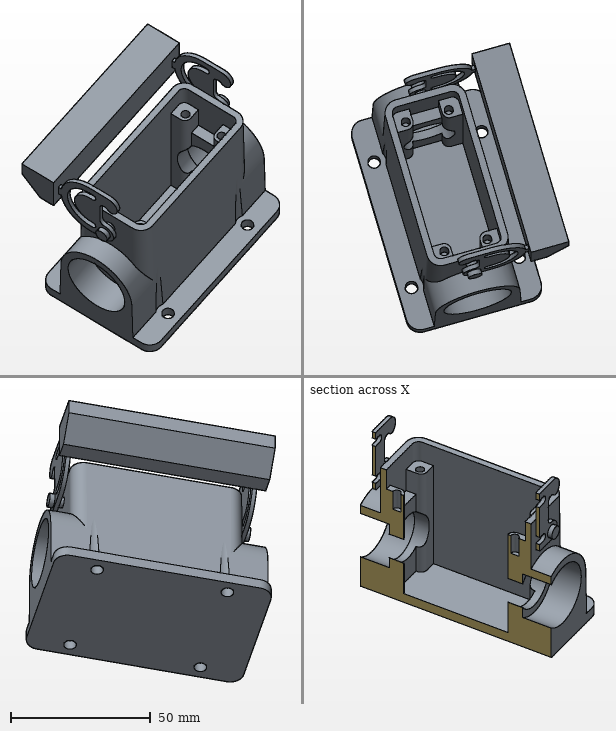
import cadquery as cq
import math


OVERALL_WIDTH = 59.5
LENGTH = 80.0

FLANGE_WIDTH = 50.0
FLANGE_THICKNESS = 4.2
FLANGE_CORNER_RADIUS = 5.0
SCREW_SPACING_X = 40.0
SCREW_SPACING_Y = 48.0
SCREW_HOLE_RADIUS = 2.2
SCREW_HEAD_RADIUS = 4.4

HOUSING_TOP = 57.0
HOUSING_HALF_BASE = 16.2
HOUSING_HALF_TOP = 15.0
HOUSING_LENGTH = 63.2
HOUSING_CORNER_RADIUS = 5.0
WALL = 2.6
CAVITY_WIDTH = 2 * (HOUSING_HALF_TOP - WALL)
CAVITY_LENGTH = HOUSING_LENGTH - 2 * WALL
CAVITY_CORNER_RADIUS = HOUSING_CORNER_RADIUS - WALL
CAVITY_DEPTH = HOUSING_TOP - FLANGE_THICKNESS

ENTRY_HEIGHT = 23.1
ENTRY_RADIUS = 12.6
ENTRY_DEPTH = 12.0
INNER_ENTRY_RADIUS = 9.5
ENTRY_WALL = 4.2


def housing_half_width(z):
    """Half width of the tapered housing at height z."""
    rise = (z - FLANGE_THICKNESS) / (HOUSING_TOP - FLANGE_THICKNESS)
    return HOUSING_HALF_BASE + (HOUSING_HALF_TOP - HOUSING_HALF_BASE) * rise


DRAFT = math.atan((HOUSING_HALF_BASE - HOUSING_HALF_TOP) / (HOUSING_TOP - FLANGE_THICKNESS))
BOSS_RADIUS = housing_half_width(ENTRY_HEIGHT) * math.cos(DRAFT)
BOSS_TOP = ENTRY_HEIGHT + BOSS_RADIUS

POST_TOP = 48.4
POST_SPACING_X = 16.0
POST_SPACING_Y = 49.4
POST_SIZE_X = 7.0
POST_SIZE_Y = 7.2
POST_CORNER_RADIUS = 2.6
POST_HOLE_RADIUS = 1.6
POST_HOLE_DEPTH = 8.0

PIVOT_HEIGHT = 50.0
PIVOT_EYE_RADIUS = 4.0
PIN_RADIUS = 2.0
PIN_HEAD_RADIUS = 2.6
PIN_HEAD_END = 37.0
PLATE_INNER_Y = 33.5
PLATE_THICKNESS = 1.6
LEVER_TOP = 72.0
LEVER_BOTTOM = PIVOT_HEIGHT - PIVOT_EYE_RADIUS
LEVER_RADIUS = (LEVER_TOP - LEVER_BOTTOM) / 2
LEVER_CENTER_X = -6.4
LEVER_CENTER_Z = (LEVER_TOP + LEVER_BOTTOM) / 2
MOUTH_RADIUS = 2.0
MOUTH_HEIGHT = 64.0
HOOK_X = 1.6
HOOK_RADIUS = 4.0
HOOK_TIP_RADIUS = 2.0
SLOT_OUTER_RADIUS = 10.0
SLOT_WIDTH = 3.0
SLOT_INNER_RADIUS = SLOT_OUTER_RADIUS - SLOT_WIDTH
SLOT_END_X = -5.4
TAB_WIDTH = 4.0

GRIP_LENGTH = 76.0
GRIP_LEFT = FLANGE_WIDTH / 2 - OVERALL_WIDTH
GRIP_WIDTH = 14.1
GRIP_BOTTOM = 52.9
GRIP_TOP = 67.0
GRIP_CHAMFER = 8.1


def box_between(x0, x1, y0, y1, z0, z1):
    """Axis-aligned box given by its limits."""
    return cq.Workplane("XY").box(x1 - x0, y1 - y0, z1 - z0, centered=False).translate((x0, y0, z0))


def cylinder_along_y(radius, z, y0, y1):
    """Cylinder parallel to Y at X = 0 and height z, from y0 to y1."""
    return cq.Workplane("XZ", origin=(0, y0, z)).circle(radius).extrude(y0 - y1)


def make_tower():
    """Tapered middle of the housing with rounded upright edges."""
    outline = [
        (-HOUSING_HALF_BASE, FLANGE_THICKNESS),
        (HOUSING_HALF_BASE, FLANGE_THICKNESS),
        (HOUSING_HALF_TOP, HOUSING_TOP),
        (-HOUSING_HALF_TOP, HOUSING_TOP),
    ]
    block = cq.Workplane("XZ").polyline(outline).close().extrude(HOUSING_LENGTH / 2, both=True)
    return block.edges("not (#Z or |Y)").fillet(HOUSING_CORNER_RADIUS)


def make_end_boss():
    """Boss at the +Y end: drafted sides flush with the tower, running into a round top."""
    start_y = HOUSING_LENGTH / 2 - HOUSING_CORNER_RADIUS
    touch_x = BOSS_RADIUS * math.cos(DRAFT)
    touch_z = ENTRY_HEIGHT + BOSS_RADIUS * math.sin(DRAFT)
    return (
        cq.Workplane("XZ", origin=(0, start_y, 0))
        .moveTo(-HOUSING_HALF_BASE, FLANGE_THICKNESS)
        .lineTo(HOUSING_HALF_BASE, FLANGE_THICKNESS)
        .lineTo(touch_x, touch_z)
        .threePointArc((0, BOSS_TOP), (-touch_x, touch_z))
        .close()
        .extrude(start_y - LENGTH / 2)
    )


def make_flange():
    """Mounting plate with rounded corners."""
    plate = cq.Workplane("XY").rect(FLANGE_WIDTH, LENGTH).extrude(FLANGE_THICKNESS)
    return plate.edges("|Z").fillet(FLANGE_CORNER_RADIUS)


def make_shell():
    """Housing and end bosses on the flange, hollowed out from the top."""
    boss = make_end_boss()
    cavity = (
        cq.Workplane("XY", origin=(0, 0, HOUSING_TOP))
        .rect(CAVITY_WIDTH, CAVITY_LENGTH)
        .extrude(-CAVITY_DEPTH)
        .edges("|Z")
        .fillet(CAVITY_CORNER_RADIUS)
    )
    return make_flange().union(make_tower()).union(boss).union(boss.mirror("XZ")).cut(cavity)


def add_posts(body):
    """Posts with blind screw holes, rounded at the corner facing the cavity."""
    x0 = CAVITY_WIDTH / 2 - POST_SIZE_X
    x1 = CAVITY_WIDTH / 2
    y0 = CAVITY_LENGTH / 2 - POST_SIZE_Y
    y1 = CAVITY_LENGTH / 2
    post = box_between(x0, x1, y0, y1, FLANGE_THICKNESS, POST_TOP)
    post = post.edges("|Z and <X and <Y").fillet(POST_CORNER_RADIUS)
    half = post.union(post.mirror("YZ"))
    body = body.union(half).union(half.mirror("XZ"))
    holes = (
        cq.Workplane("XY", origin=(0, 0, POST_TOP))
        .rect(POST_SPACING_X, POST_SPACING_Y, forConstruction=True)
        .vertices()
        .circle(POST_HOLE_RADIUS)
        .extrude(-POST_HOLE_DEPTH)
    )
    return body.cut(holes)


def add_cable_entries(body):
    """Thickened end walls pierced by stepped cable holes."""
    half_length = CAVITY_LENGTH / 2
    half_width = CAVITY_WIDTH / 2
    wall_face = half_length - ENTRY_WALL
    block = box_between(-half_width, half_width, wall_face, half_length, FLANGE_THICKNESS, BOSS_TOP)
    outer = cylinder_along_y(ENTRY_RADIUS, ENTRY_HEIGHT, LENGTH / 2 - ENTRY_DEPTH, LENGTH / 2)
    inner = cylinder_along_y(INNER_ENTRY_RADIUS, ENTRY_HEIGHT, -LENGTH / 2, LENGTH / 2)
    body = body.union(block).union(block.mirror("XZ"))
    return body.cut(outer).cut(outer.mirror("XZ")).cut(inner)


def cut_mounting_holes(body):
    """Flange holes with clearance for the screw heads cut into the housing sides."""
    centres = cq.Workplane("XY").rect(SCREW_SPACING_X, SCREW_SPACING_Y, forConstruction=True).vertices()
    holes = centres.circle(SCREW_HOLE_RADIUS).extrude(FLANGE_THICKNESS)
    heads = centres.circle(SCREW_HEAD_RADIUS).extrude(HOUSING_TOP - FLANGE_THICKNESS)
    return body.cut(holes).cut(heads.translate((0, 0, FLANGE_THICKNESS)))


def polar(centre, radius, angle):
    """Point on a circle, angle in radians."""
    return (centre[0] + radius * math.cos(angle), centre[1] + radius * math.sin(angle))


def make_plate_profile():
    """Solid side plate: round back, hook at the top and pivot eye at the bottom."""
    hook = (HOOK_X, LEVER_TOP - HOOK_RADIUS)
    mouth = (0, MOUTH_HEIGHT)
    eye = (0, PIVOT_HEIGHT)
    eye_top = PIVOT_HEIGHT + PIVOT_EYE_RADIUS
    neck_fillet = (0, eye_top + MOUTH_RADIUS)

    hook_distance = math.dist(mouth, hook)
    mouth_reach = MOUTH_RADIUS + HOOK_TIP_RADIUS
    hook_reach = HOOK_RADIUS - HOOK_TIP_RADIUS
    hook_angle = math.atan2(hook[1] - mouth[1], hook[0] - mouth[0])
    opening = math.acos(
        (mouth_reach**2 + hook_distance**2 - hook_reach**2) / (2 * mouth_reach * hook_distance)
    )
    mouth_end = hook_angle - opening
    tip = polar(mouth, mouth_reach, mouth_end)
    tip_start = math.atan2(tip[1] - hook[1], tip[0] - hook[0])
    tip_end = mouth_end - math.pi
    tip_middle = (tip_start + tip_end) / 2
    mouth_middle = (mouth_end + math.pi) / 2
    hook_middle = (math.pi / 2 + tip_start) / 2

    return (
        cq.Workplane("XZ")
        .moveTo(LEVER_CENTER_X, LEVER_TOP)
        .lineTo(HOOK_X, LEVER_TOP)
        .threePointArc(polar(hook, HOOK_RADIUS, hook_middle), polar(hook, HOOK_RADIUS, tip_start))
        .threePointArc(
            polar(tip, HOOK_TIP_RADIUS, tip_middle), polar(tip, HOOK_TIP_RADIUS, tip_end)
        )
        .threePointArc(polar(mouth, MOUTH_RADIUS, mouth_middle), (-MOUTH_RADIUS, MOUTH_HEIGHT))
        .lineTo(-MOUTH_RADIUS, neck_fillet[1])
        .threePointArc(polar(neck_fillet, MOUTH_RADIUS, math.radians(225)), (0, eye_top))
        .threePointArc(polar(eye, PIVOT_EYE_RADIUS, 0), (0, LEVER_BOTTOM))
        .lineTo(LEVER_CENTER_X, LEVER_BOTTOM)
        .threePointArc((LEVER_CENTER_X - LEVER_RADIUS, LEVER_CENTER_Z), (LEVER_CENTER_X, LEVER_TOP))
        .close()
    )


def make_slot_profile():
    """C-shaped slot following the round back, with straight, round-ended legs."""
    leg_offset = (SLOT_OUTER_RADIUS + SLOT_INNER_RADIUS) / 2
    end_radius = SLOT_WIDTH / 2
    end_x = SLOT_END_X + end_radius
    outer_top = LEVER_CENTER_Z + SLOT_OUTER_RADIUS
    outer_bottom = LEVER_CENTER_Z - SLOT_OUTER_RADIUS
    inner_top = LEVER_CENTER_Z + SLOT_INNER_RADIUS
    inner_bottom = LEVER_CENTER_Z - SLOT_INNER_RADIUS
    return (
        cq.Workplane("XZ")
        .moveTo(LEVER_CENTER_X, outer_top)
        .lineTo(SLOT_END_X, outer_top)
        .threePointArc((end_x, LEVER_CENTER_Z + leg_offset), (SLOT_END_X, inner_top))
        .lineTo(LEVER_CENTER_X, inner_top)
        .threePointArc(
            (LEVER_CENTER_X - SLOT_INNER_RADIUS, LEVER_CENTER_Z), (LEVER_CENTER_X, inner_bottom)
        )
        .lineTo(SLOT_END_X, inner_bottom)
        .threePointArc((end_x, LEVER_CENTER_Z - leg_offset), (SLOT_END_X, outer_bottom))
        .lineTo(LEVER_CENTER_X, outer_bottom)
        .threePointArc(
            (LEVER_CENTER_X - SLOT_OUTER_RADIUS, LEVER_CENTER_Z), (LEVER_CENTER_X, outer_top)
        )
        .close()
    )


def make_side_plate():
    """Side plate at the +Y end, with its pivot pin and the tab that carries the grip."""
    plate_outer_y = PLATE_INNER_Y + PLATE_THICKNESS
    plate = make_plate_profile().extrude(-PLATE_THICKNESS)
    plate = plate.cut(make_slot_profile().extrude(-PLATE_THICKNESS))
    plate = plate.translate((0, PLATE_INNER_Y, 0))
    tab = box_between(
        GRIP_LEFT + GRIP_WIDTH / 2,
        LEVER_CENTER_X - (LEVER_RADIUS + SLOT_OUTER_RADIUS) / 2,
        PLATE_INNER_Y,
        plate_outer_y,
        LEVER_CENTER_Z - TAB_WIDTH / 2,
        LEVER_CENTER_Z + TAB_WIDTH / 2,
    )
    pin_root = (HOUSING_LENGTH - WALL) / 2
    pin = cylinder_along_y(PIN_RADIUS, PIVOT_HEIGHT, pin_root, plate_outer_y)
    head = cylinder_along_y(PIN_HEAD_RADIUS, PIVOT_HEIGHT, plate_outer_y, PIN_HEAD_END)
    return plate.union(tab).union(pin).union(head)


def make_grip():
    """Bar with its lower outer corner bevelled."""
    outline = [
        (GRIP_LEFT, GRIP_TOP),
        (GRIP_LEFT + GRIP_WIDTH, GRIP_TOP),
        (GRIP_LEFT + GRIP_WIDTH, GRIP_BOTTOM),
        (GRIP_LEFT + GRIP_CHAMFER, GRIP_BOTTOM),
        (GRIP_LEFT, GRIP_BOTTOM + GRIP_CHAMFER),
    ]
    return cq.Workplane("XZ").polyline(outline).close().extrude(GRIP_LENGTH / 2, both=True)


housing = cut_mounting_holes(add_cable_entries(add_posts(make_shell())))
side_plate = make_side_plate()
result = housing.union(side_plate).union(side_plate.mirror("XZ")).union(make_grip())